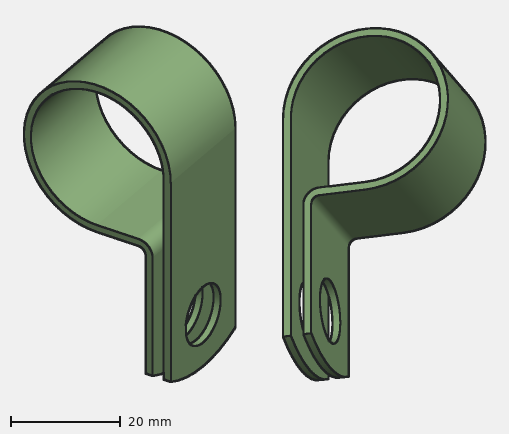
import cadquery as cq
import math

total_height = 61.0
width = 22.2
loop_diameter = 31.6
thickness = 1.5
leg_gap = 2.4
bend_inner_radius = 1.5
hole_diameter = 11.95
hole_height = 11.1
end_sagitta = 2.5

outer_radius = loop_diameter / 2
inner_radius = outer_radius - thickness
bend_outer_radius = bend_inner_radius + thickness
bottom_z = outer_radius - total_height
short_leg_right = inner_radius - leg_gap
short_leg_left = short_leg_right - thickness
bend_x = short_leg_right - bend_outer_radius
bend_z = -inner_radius - bend_outer_radius
diagonal = math.sqrt(0.5)


def make_strap():
    """Bent strip: long leg, three-quarter loop, flat shelf, bend and short leg."""
    profile = (
        cq.Workplane("XZ")
        .moveTo(outer_radius, bottom_z)
        .lineTo(outer_radius, 0)
        .threePointArc((-outer_radius * diagonal, outer_radius * diagonal), (0, -outer_radius))
        .lineTo(bend_x, -outer_radius)
        .threePointArc(
            (bend_x + bend_inner_radius * diagonal, bend_z + bend_inner_radius * diagonal),
            (short_leg_left, bend_z),
        )
        .lineTo(short_leg_left, bottom_z)
        .lineTo(short_leg_right, bottom_z)
        .lineTo(short_leg_right, bend_z)
        .threePointArc(
            (bend_x + bend_outer_radius * diagonal, bend_z + bend_outer_radius * diagonal),
            (bend_x, -inner_radius),
        )
        .lineTo(0, -inner_radius)
        .threePointArc((-inner_radius * diagonal, inner_radius * diagonal), (inner_radius, 0))
        .lineTo(inner_radius, bottom_z)
        .close()
    )
    return profile.extrude(width / 2, both=True)


def make_side_outline():
    """Block with an arc-shaped lower end that trims both legs."""
    corner_z = bottom_z + end_sagitta
    return (
        cq.Workplane("YZ")
        .moveTo(-width / 2, outer_radius)
        .lineTo(-width / 2, corner_z)
        .threePointArc((0, bottom_z), (width / 2, corner_z))
        .lineTo(width / 2, outer_radius)
        .close()
        .extrude(loop_diameter, both=True)
    )


def make_bolt_hole():
    """Cylinder along X passing through both legs."""
    return (
        cq.Workplane("YZ")
        .center(0, bottom_z + hole_height)
        .circle(hole_diameter / 2)
        .extrude(loop_diameter)
    )


result = make_strap().intersect(make_side_outline()).cut(make_bolt_hole())